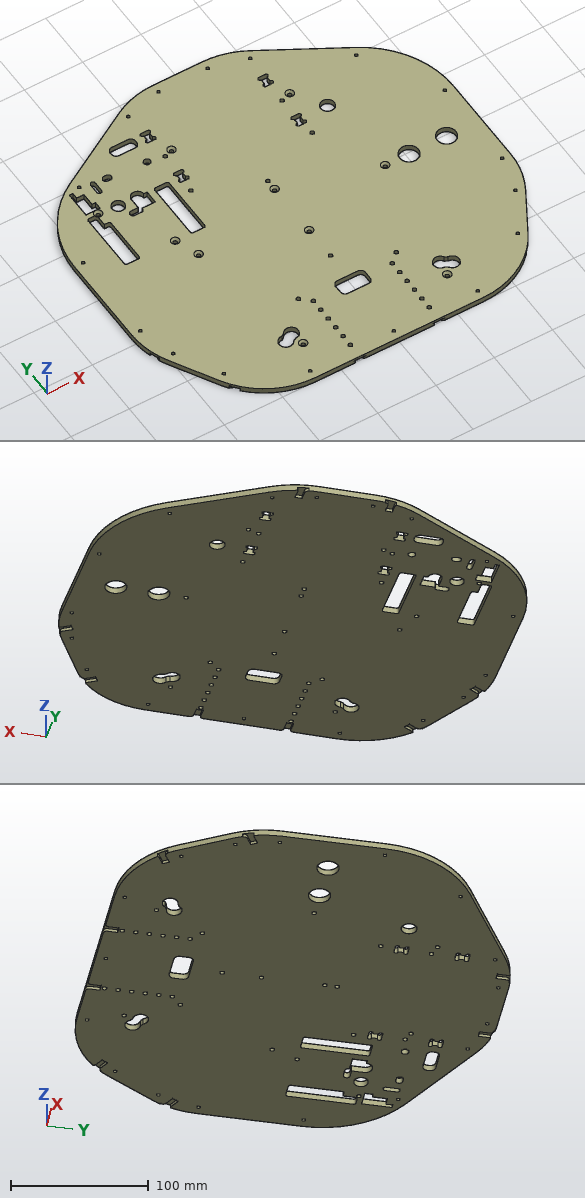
import cadquery as cq
import math

width = 325.5
depth = 300.8
thickness = 5.0
half_width = width / 2
half_depth = depth / 2

upper_side_corner_y = 79.5
lower_side_corner_y = -63.0
upper_slope = 30.0
lower_slope = 60.0
corner_radius = 70.0
upper_side_radius = 80.0

rim_hole_diameter = 2.5
rim_inset = 7.5

notch_width = 5.2
notch_reach = 10.0
notch_height = 2.45
notch_flare_radius = 2.5
notch_setback = 1.0
notch_offset = 34.0

screw_hole_diameter = 3.3
row_x = 34.0
row_top_y = -87.3
row_length = 50.0
row_count = 6
plain_hole_pairs = [(50.0, 88.0), (52.0, 50.0), (42.0, -79.8)]
centre_plain_hole_ys = [28.0, -57.0]

countersunk_hole_diameter = 3.2
countersink_diameter = 6.8
countersink_angle = 90.0
countersunk_pairs = [(80.0, -4.5), (62.0, -117.5)]
countersunk_singles = [(-43.0, 90.8), (58.5, 90.8), (0, 19.0), (0, -28.0), (-87.5, 15.3), (-120.8, 67.5)]

port_y = 65.8
left_port_diameter = 10.5
left_port_x = -104.5
right_port_diameter = 11.5
right_port_x = 75.5
right_port_y = 66.5
button_diameter = 16.0
button_y = -4.5
button_xs = [100.5, 132.8]
lead_hole_diameter = 5.5
lead_hole_centre = (-64.0, 90.5)

upright_slot_centre = (-108.7, 89.2)
upright_slot_length = 12.5
upright_slot_width = 4.0
oval_centre = (-97.0, 92.8)
oval_length = 7.0
oval_width = 5.2

window_radius = 4.0
upper_window_left = -82.0
upper_window_right = -60.5
upper_window_bottom = 106.5
upper_window_top = 116.0
centre_window_half_width = 12.7
centre_window_bottom = -94.5
centre_window_top = -80.0

neck_centre = (-67.7, -107.0)
neck_width = 9.8
neck_end_diameter = 11.5
neck_end_spacing = 8.8
neck_angle = 30.0

clip_xs = [-50.5, 50.5]
clip_ys = [110.7, 65.8]
clip_width = 5.0
clip_height = 10.0
clip_ear_span = 8.5
clip_ear_width = 3.0

opening_radius = 1.5
bay_bottom = 15.0
outer_bay_left = -130.5
outer_bay_right = -118.0
outer_bay_shoulder = 56.0
outer_bay_neck_right = -122.7
outer_bay_top = 66.7
inner_bay_left = -74.0
inner_bay_right = -61.5
inner_bay_top = 66.0

stair_left = -129.0
stair_bottom = 71.0
stair_steps = [(-126.0, 93.5), (-119.8, 88.2), (-117.0, 77.0)]

keyed_port_x = -88.0
keyed_port_right = -79.8
keyed_port_bottom = 54.7
keyed_tail_left = -101.5
keyed_tail_right = -91.0
keyed_tail_bottom = 51.8
keyed_tail_top = 56.5
keyed_tail_radius = 2.3


def mirrored(points):
    """The points together with their mirror images across the Y axis."""
    return points + [(-x, y) for x, y in points]


def point_on_edge(start, end, distance, inset=0.0):
    """Point at a distance along the edge from start to end (clockwise), moved inward by inset."""
    length = math.dist(start, end)
    along_x = (end[0] - start[0]) / length
    along_y = (end[1] - start[1]) / length
    return (
        start[0] + along_x * distance + along_y * inset,
        start[1] + along_y * distance - along_x * inset,
    )


def tangent_length(radius, turn):
    """Distance from a sharp corner to where its rounding starts, for a turn in degrees."""
    return radius * math.tan(math.radians(turn / 2))


top_corner_x = half_width - (half_depth - upper_side_corner_y) / math.tan(math.radians(upper_slope))
bottom_corner_x = half_width - (half_depth + lower_side_corner_y) / math.tan(math.radians(lower_slope))
top_corner = (top_corner_x, half_depth)
upper_side_corner = (half_width, upper_side_corner_y)
lower_side_corner = (half_width, lower_side_corner_y)
bottom_corner = (bottom_corner_x, -half_depth)
right_corners = [top_corner, upper_side_corner, lower_side_corner, bottom_corner]
corner_radii = [corner_radius, upper_side_radius, corner_radius, corner_radius]

top_tangent = tangent_length(corner_radius, upper_slope)
upper_side_tangent = tangent_length(upper_side_radius, 90 - upper_slope)
lower_side_tangent = tangent_length(corner_radius, 90 - lower_slope)
bottom_tangent = tangent_length(corner_radius, lower_slope)


left_corners = [(-x, y) for x, y in reversed(right_corners)]
plate = cq.Workplane("XY").polyline(right_corners + left_corners).close().extrude(thickness)
for corner, radius in zip(right_corners, corner_radii):
    for x, y in mirrored([corner]):
        corner_edge = cq.selectors.NearestToPointSelector((x, y, thickness / 2))
        plate = plate.edges("|Z").edges(corner_edge).fillet(radius)


def notch_cutter(centre, outward_angle, setback=0.0):
    """Tool for a notch that runs inward from an edge line, flared at a mouth set back from that line."""
    mouth_end = setback + notch_flare_radius
    half_notch = notch_width / 2
    half_mouth = half_notch + notch_flare_radius
    flare_middle = notch_flare_radius * math.sqrt(0.5)
    flare_x = flare_middle - notch_flare_radius
    flare_y = half_mouth - flare_middle
    return (
        cq.Workplane("XY")
        .moveTo(0, half_mouth)
        .threePointArc((flare_x, flare_y), (-notch_flare_radius, half_notch))
        .lineTo(-notch_reach, half_notch)
        .lineTo(-notch_reach, -half_notch)
        .lineTo(-notch_flare_radius, -half_notch)
        .threePointArc((flare_x, -flare_y), (0, -half_mouth))
        .lineTo(mouth_end, -half_mouth)
        .lineTo(mouth_end, half_mouth)
        .close()
        .extrude(notch_height)
        .translate((-setback, 0, 0))
        .rotate((0, 0, 0), (0, 0, 1), outward_angle)
        .translate((centre[0], centre[1], 0))
    )


lower_edge_length = math.dist(lower_side_corner, bottom_corner)
lower_edge_middle = (lower_edge_length + lower_side_tangent - bottom_tangent) / 2
for offset in (-notch_offset, notch_offset):
    plate = plate.cut(notch_cutter((offset, half_depth), 90, notch_setback))
    plate = plate.cut(notch_cutter((offset, -half_depth), -90))
    slope_point = point_on_edge(lower_side_corner, bottom_corner, lower_edge_middle + offset)
    slope_notch = notch_cutter(slope_point, lower_slope - 90, notch_setback)
    plate = plate.cut(slope_notch).cut(slope_notch.mirror("YZ"))


def box_cutter(left, right, bottom, top, radius=0.0):
    tool = (
        cq.Workplane("XY")
        .center((left + right) / 2, (bottom + top) / 2)
        .rect(right - left, top - bottom)
        .extrude(thickness)
    )
    if radius:
        tool = tool.edges("|Z").fillet(radius)
    return tool


def round_cutter(points, diameter):
    return cq.Workplane("XY").pushPoints(points).circle(diameter / 2).extrude(thickness)


def slot_cutter(centre, length, slot_width, angle=0.0):
    return cq.Workplane("XY").center(*centre).slot2D(length, slot_width, angle).extrude(thickness)


def edge_end_points(start, end, start_tangent, end_tangent):
    """Inset points beside both ends of the straight part of an edge."""
    straight_end = math.dist(start, end) - end_tangent
    return [
        point_on_edge(start, end, start_tangent, rim_inset),
        point_on_edge(start, end, straight_end, rim_inset),
    ]


right_rim_holes = (
    [(top_corner_x - top_tangent, half_depth - rim_inset)]
    + edge_end_points(top_corner, upper_side_corner, top_tangent, upper_side_tangent)
    + edge_end_points(upper_side_corner, lower_side_corner, upper_side_tangent, lower_side_tangent)
    + edge_end_points(lower_side_corner, bottom_corner, lower_side_tangent, bottom_tangent)
    + [(bottom_corner_x - bottom_tangent, -half_depth + rim_inset)]
)
bottom_middle_hole = (0, -half_depth + rim_inset)
plate = plate.cut(round_cutter(mirrored(right_rim_holes) + [bottom_middle_hole], rim_hole_diameter))

row_pitch = row_length / (row_count - 1)
row_holes = [(row_x, row_top_y - i * row_pitch) for i in range(row_count)]
centre_holes = [(0, y) for y in centre_plain_hole_ys]
plate = plate.cut(round_cutter(mirrored(row_holes + plain_hole_pairs) + centre_holes, screw_hole_diameter))

plate = plate.cut(round_cutter([(left_port_x, port_y)], left_port_diameter))
plate = plate.cut(round_cutter([(right_port_x, right_port_y)], right_port_diameter))
plate = plate.cut(round_cutter([(x, button_y) for x in button_xs], button_diameter))
plate = plate.cut(round_cutter([lead_hole_centre], lead_hole_diameter))
plate = plate.cut(slot_cutter(upright_slot_centre, upright_slot_length, upright_slot_width, 90))
plate = plate.cut(slot_cutter(oval_centre, oval_length, oval_width))
plate = plate.cut(
    box_cutter(upper_window_left, upper_window_right, upper_window_bottom, upper_window_top, window_radius)
)
plate = plate.cut(
    box_cutter(
        -centre_window_half_width,
        centre_window_half_width,
        centre_window_bottom,
        centre_window_top,
        window_radius,
    )
)


def necked_cutter(centre, angle):
    half_spacing = neck_end_spacing / 2
    step_x = half_spacing * math.cos(math.radians(angle))
    step_y = half_spacing * math.sin(math.radians(angle))
    tool = slot_cutter(centre, neck_end_spacing + neck_width, neck_width, angle)
    for sign in (-1, 1):
        end = (centre[0] + sign * step_x, centre[1] + sign * step_y)
        tool = tool.union(round_cutter([end], neck_end_diameter))
    return tool


left_necked_cutter = necked_cutter(neck_centre, neck_angle)
plate = plate.cut(left_necked_cutter).cut(left_necked_cutter.mirror("YZ"))


def clip_cutter(x, y):
    half_height = clip_height / 2
    tool = box_cutter(x - clip_width / 2, x + clip_width / 2, y - half_height, y + half_height)
    ear_offset = half_height - clip_ear_width / 2
    for ear_y in (y - ear_offset, y + ear_offset):
        tool = tool.union(slot_cutter((x, ear_y), clip_ear_span, clip_ear_width))
    return tool


for clip_x in clip_xs:
    for clip_y in clip_ys:
        plate = plate.cut(clip_cutter(clip_x, clip_y))

plate = plate.cut(box_cutter(outer_bay_left, outer_bay_right, bay_bottom, outer_bay_shoulder, opening_radius))
plate = plate.cut(box_cutter(outer_bay_left, outer_bay_neck_right, bay_bottom, outer_bay_top, opening_radius))
plate = plate.cut(box_cutter(inner_bay_left, inner_bay_right, bay_bottom, inner_bay_top, opening_radius))

for step_right, step_top in stair_steps:
    plate = plate.cut(box_cutter(stair_left, step_right, stair_bottom, step_top))

keyed_port_left = keyed_port_x - left_port_diameter / 2
plate = plate.cut(round_cutter([(keyed_port_x, port_y)], left_port_diameter))
plate = plate.cut(box_cutter(keyed_port_left, keyed_port_right, keyed_port_bottom, port_y))
plate = plate.cut(
    box_cutter(keyed_tail_left, keyed_tail_right, keyed_tail_bottom, keyed_tail_top, keyed_tail_radius)
)

plate = (
    plate.faces(">Z")
    .workplane(origin=(0, 0, thickness))
    .pushPoints(mirrored(countersunk_pairs) + countersunk_singles)
    .cskHole(countersunk_hole_diameter, countersink_diameter, countersink_angle)
)

result = plate